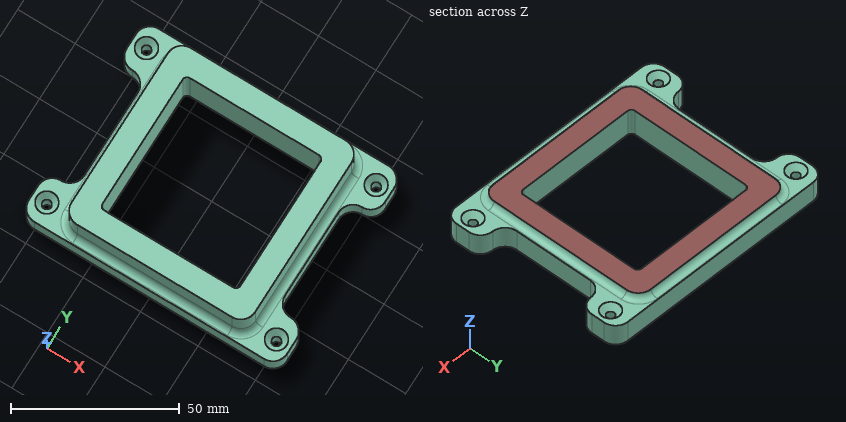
import cadquery as cq

plate_length = 90.0
plate_width = 70.0
plate_thickness = 8.0
body_length = plate_width
ear_width = 15.0
ear_overhang = (plate_length - body_length) / 2
ear_radius = ear_overhang / 2

total_height = 20.0
collar_side = 64.0
collar_corner_radius = 5.0
collar_foot_fillet = 2.5

opening_side = 48.0
opening_corner_radius = 1.5

hole_spacing_x = plate_length - ear_overhang
hole_spacing_y = 56.0
hole_diameter = 3.0
countersink_diameter = 7.0
countersink_angle = 90.0


def rounded_block(length, width, height, radius):
    """Block standing on Z = 0 with rounded vertical edges."""
    block = cq.Workplane("XY").box(length, width, height, centered=(True, True, False))
    return block.edges("|Z").fillet(radius)


def side_notch():
    """Recess between the two ears on the -X side, with S-shaped ends."""
    outer_x = -plate_length / 2
    middle_x = outer_x + ear_radius
    inner_x = -body_length / 2
    ear_inner_y = plate_width / 2 - ear_width
    mouth_y = ear_inner_y + ear_radius
    floor_y = ear_inner_y - ear_radius
    return (
        cq.Workplane("XY")
        .moveTo(outer_x, -mouth_y)
        .radiusArc((middle_x, -ear_inner_y), ear_radius)
        .radiusArc((inner_x, -floor_y), -ear_radius)
        .lineTo(inner_x, floor_y)
        .radiusArc((middle_x, ear_inner_y), -ear_radius)
        .radiusArc((outer_x, mouth_y), ear_radius)
        .close()
        .extrude(plate_thickness)
    )


notch = side_notch()
plate = rounded_block(plate_length, plate_width, plate_thickness, ear_radius)
plate = plate.cut(notch).cut(notch.mirror("YZ"))

collar = rounded_block(collar_side, collar_side, total_height, collar_corner_radius)
selection_margin = 0.1
foot_reach = collar_side / 2 + selection_margin
foot_edges = cq.selectors.BoxSelector(
    (-foot_reach, -foot_reach, plate_thickness - selection_margin),
    (foot_reach, foot_reach, plate_thickness + selection_margin),
)
frame = plate.union(collar).edges(foot_edges).fillet(collar_foot_fillet)

frame = frame.cut(rounded_block(opening_side, opening_side, total_height, opening_corner_radius))

result = (
    frame.copyWorkplane(cq.Workplane("XY", origin=(0, 0, plate_thickness)))
    .rarray(hole_spacing_x, hole_spacing_y, 2, 2)
    .cskHole(hole_diameter, countersink_diameter, countersink_angle)
)